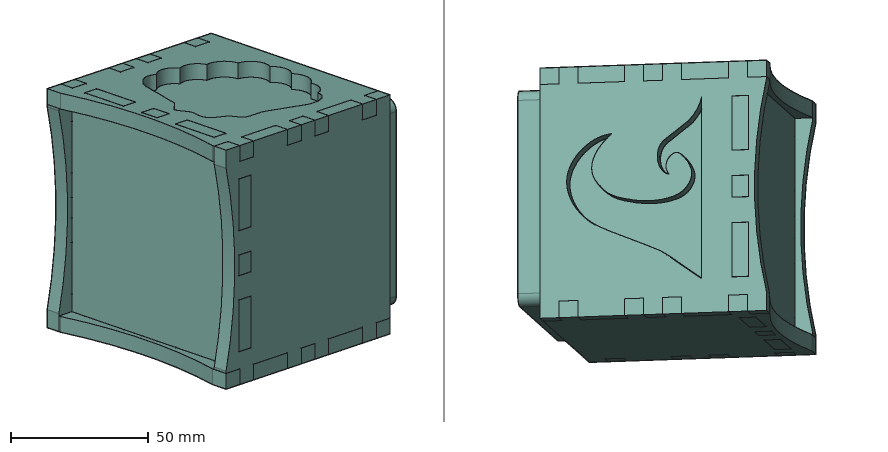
import cadquery as cq


thickness = 6.1
inner_width = 80.0
outer_width = inner_width + 2 * thickness
short_finger = 7.0
long_finger = 17.35
finger_lengths = [
    short_finger, short_finger, long_finger, short_finger, short_finger,
    short_finger, long_finger, short_finger, short_finger,
]
sleeve_depth = sum(finger_lengths)
scoop_depth = 4.4
scoop_half_width = outer_width / 2 - short_finger

panel_setback = 6.55
side_slot_width = inner_width / 4
side_slot_offset = inner_width * 7 / 24
middle_slot_width = inner_width / 10
tab_clearance = 0.1
front_slots = [
    (-side_slot_offset, side_slot_width),
    (0, middle_slot_width),
    (side_slot_offset, side_slot_width),
]

total_depth = 93.22
block_width = 79.4
block_corner_radius = 4.1
block_front = panel_setback + thickness

wall_count = 4
quarter_turn = 360 / wall_count


def quarter_turns(body, count):
    """Turn a body about the sleeve axis; one turn carries the top wall to the -X side."""
    return body.rotate((0, 0, 0), (0, 1, 0), -quarter_turn * count)


def block_at(x, y, z, length_x, length_y, length_z):
    """A box centred on x, starting at y and z."""
    box = cq.Workplane("XY").box(length_x, length_y, length_z, centered=(True, False, False))
    return box.translate((x, y, z))


def finger_notches(side, first):
    """Notches along one side edge of the top wall, at every second finger from the given one."""
    notches = cq.Workplane("XY")
    edge_center = side * (inner_width + thickness) / 2
    for index in range(first, len(finger_lengths), 2):
        start = sum(finger_lengths[:index])
        notches = notches.add(
            block_at(edge_center, start, inner_width / 2, thickness, finger_lengths[index], thickness)
        )
    return notches.combine()


def top_wall_tabs(clearance):
    """Three blocks through the top wall, narrower than the slots by the given clearance."""
    tabs = cq.Workplane("XY")
    for center, width in front_slots:
        tab_width = width - clearance
        tabs = tabs.add(block_at(center, panel_setback, inner_width / 2, tab_width, thickness, thickness))
    return tabs.combine()


def front_scoop():
    """The shallow arc cut from the front edge of the top wall."""
    return (
        cq.Workplane("XY", origin=(0, 0, inner_width / 2))
        .moveTo(-scoop_half_width, 0)
        .threePointArc((0, scoop_depth), (scoop_half_width, 0))
        .close()
        .extrude(thickness)
    )


def make_wall():
    """A plain sleeve wall in the top position."""
    wall = block_at(0, 0, inner_width / 2, outer_width, sleeve_depth, thickness)
    wall = wall.cut(finger_notches(-1, 1))
    wall = wall.cut(finger_notches(1, 0))
    wall = wall.cut(top_wall_tabs(0))
    return wall.cut(front_scoop())


def shell_opening():
    """Scallop shell cut-out of the top wall, outlined in X and Y."""
    scallops = [
        ((-31.1, 42.9), (-27.6, 49.6)),
        ((-28.0, 55.2), (-23.5, 59.1)),
        ((-22.0, 65.6), (-16.7, 68.3)),
        ((-13.5, 73.8), (-6.0, 73.9)),
        ((-0.9, 76.4), (4.9, 74.2)),
        ((10.3, 75.9), (17.0, 72.1)),
        ((22.8, 70.9), (26.3, 66.4)),
    ]
    hinge = [
        (26.3, 36.9), (26.3, 32.9), (25.8, 29.4), (21.6, 26.7), (17.2, 20.1),
        (14.8, 19.0), (8.0, 19.4), (2.7, 17.1), (-1.8, 21.2), (-5.3, 22.6),
    ]
    outline = cq.Workplane("XY", origin=(0, 0, inner_width / 2)).moveTo(-28.9, 38.9)
    for crest, cusp in scallops:
        outline = outline.threePointArc(crest, cusp)
    return (
        outline
        .spline([(30.3, 64.7), (32.3, 60.5), (31.4, 52.8)], includeCurrent=True)
        .lineTo(26.7, 39.3)
        .spline(hinge, includeCurrent=True)
        .lineTo(-22.5, 27.2)
        .spline([(-26.9, 29.8), (-29.6, 33.8), (-28.9, 38.9)], includeCurrent=True)
        .close()
        .extrude(thickness)
    )


def wave_opening():
    """Breaking wave cut-out of the -X wall, outlined in Y and Z."""
    wave_front = 23.9
    wave_half_height = 33.4
    back_slope = [(26.7, 27.2), (28.9, 24.7)]
    curl_outside = [(40.3, 12.8), (38.4, 6.8), (36.0, 5.4)]
    curl_inside = [(37.1, 8.4), (36.0, 11.5), (33.4, 13.2), (29.4, 10.2), (27.6, 5.3), (31.1, -1.1)]
    trough = [(36.0, -3.3), (44.0, -4.2), (51.9, -3.2), (58.1, -1.1), (62.5, 2.9), (64.5, 7.5)]
    crest_inside = [(64.1, 11.5), (61.2, 16.8), (57.2, 21.0)]
    crest_outside = [(67.8, 15.9), (73.8, 4.4), (68.7, -8.0), (63.0, -12.4)]
    face_slope = [(54.2, -16.4), (45.3, -20.1), (39.1, -22.8), (32.0, -27.6)]
    wave_foot = (wave_front, -wave_half_height)
    return (
        cq.Workplane("YZ", origin=(-outer_width / 2, 0, 0))
        .moveTo(wave_front, wave_half_height)
        .spline(back_slope, includeCurrent=True)
        .lineTo(37.3, 18.3)
        .spline(curl_outside, includeCurrent=True)
        .spline(curl_inside + trough + crest_inside, includeCurrent=True)
        .spline(crest_outside + face_slope + [wave_foot], includeCurrent=True)
        .close()
        .extrude(thickness)
    )


def make_front_panel():
    """The square panel set back inside the front, with three tabs on each edge."""
    panel = block_at(0, panel_setback, -inner_width / 2, inner_width, thickness, inner_width)
    for turn in range(wall_count):
        panel = panel.union(quarter_turns(top_wall_tabs(tab_clearance), turn))
    return panel


def make_drawer_block():
    """The rounded block behind the front panel, standing out at the back."""
    block = block_at(0, block_front, -block_width / 2, block_width, total_depth - block_front, block_width)
    return block.edges("|Y").fillet(block_corner_radius)


walls = [quarter_turns(make_wall(), turn) for turn in range(wall_count)]
walls[0] = walls[0].cut(shell_opening())
walls[1] = walls[1].cut(wave_opening())
front_panel = make_front_panel()
drawer_block = make_drawer_block()

result = cq.Compound.makeCompound(
    [*[wall.val() for wall in walls], front_panel.val(), drawer_block.val()]
)